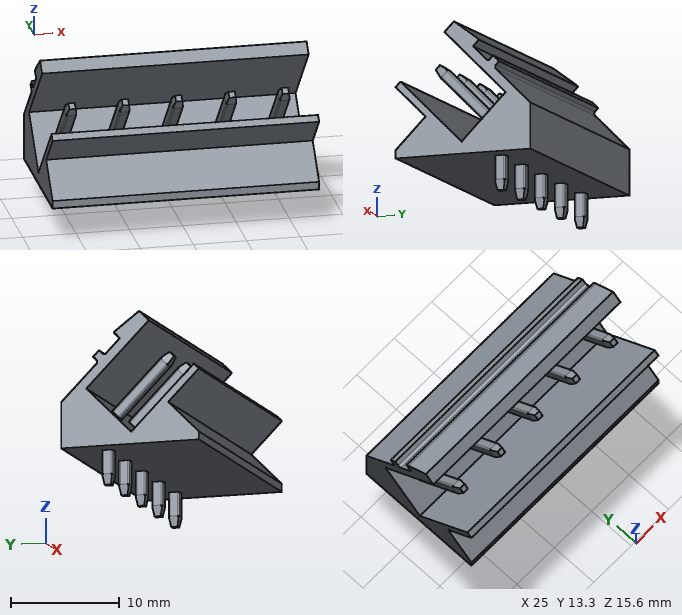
import cadquery as cq
import math


HOUSING_LENGTH = 25.0
HOUSING_DEPTH = 13.3
TILT = 45.0
SOCKET_DEPTH = 8.52
SOCKET_WIDTH = 6.12
SOCKET_CORNER_Z = 1.12
FRONT_WALL = 0.7
FRONT_WALL_ROOT = 4.35
BACK_WALL = 0.92

LIP_START = 5.45
LIP_FLAT = 0.32
LIP_THICKNESS = 1.72
LIP_MOUTH_THICKNESS = 1.32

RIB_START = 2.52
RIB_WIDTH = 0.82
RIB_HEIGHT = 0.7
RIB_FILLET = 0.25

PIN_COUNT = 5
PIN_PITCH = HOUSING_LENGTH / PIN_COUNT
PIN_SIZE = 1.0
PIN_FILLET = 0.15
TIP_LENGTH = 1.0
TIP_SIZE = 0.6
TAIL_Y = 9.5
TAIL_LENGTH = 3.2
PIN_REACH = 7.6

COS = math.cos(math.radians(TILT))
SIN = math.sin(math.radians(TILT))
SOCKET_CORNER_Y = SOCKET_DEPTH * COS + FRONT_WALL * SIN


def socket_point(out, across):
    """(Y, Z) of a point 'out' from the socket floor and 'across' from the front wall's inner face."""
    y = SOCKET_CORNER_Y - out * COS + across * SIN
    z = SOCKET_CORNER_Z + out * SIN + across * COS
    return y, z


def make_housing():
    wall_outside = SOCKET_WIDTH + BACK_WALL
    rib_end = RIB_START + RIB_WIDTH
    rib_top = wall_outside + RIB_HEIGHT
    lip_top = SOCKET_WIDTH + LIP_THICKNESS
    rib_roots = [socket_point(RIB_START, wall_outside), socket_point(rib_end, wall_outside)]

    front_wall_root = socket_point(FRONT_WALL_ROOT, -FRONT_WALL)
    front_foot_z = front_wall_root[1] - front_wall_root[0] * COS / SIN
    back_edge_z = rib_roots[0][1] - (HOUSING_DEPTH - rib_roots[0][0]) * SIN / COS

    outline = [
        (0, 0),
        (0, front_foot_z),
        front_wall_root,
        socket_point(SOCKET_DEPTH, -FRONT_WALL),
        socket_point(SOCKET_DEPTH, 0),
        socket_point(0, 0),
        socket_point(0, SOCKET_WIDTH),
        socket_point(SOCKET_DEPTH, SOCKET_WIDTH),
        socket_point(SOCKET_DEPTH, SOCKET_WIDTH + LIP_MOUTH_THICKNESS),
        socket_point(LIP_START + LIP_FLAT, lip_top),
        socket_point(LIP_START, lip_top),
        socket_point(LIP_START, wall_outside),
        rib_roots[1],
        socket_point(rib_end, rib_top),
        socket_point(RIB_START, rib_top),
        rib_roots[0],
        (HOUSING_DEPTH, back_edge_z),
        (HOUSING_DEPTH, 0),
    ]
    body = cq.Workplane("YZ").polyline(outline).close().extrude(HOUSING_LENGTH / 2, both=True)
    for y, z in rib_roots:
        body = body.edges(cq.selectors.NearestToPointSelector((0, y, z))).fillet(RIB_FILLET)
    return body


def pin_section(plane):
    """Square pin section with rounded corners, drawn on the given plane."""
    square = cq.Sketch().rect(PIN_SIZE, PIN_SIZE).vertices().fillet(PIN_FILLET)
    return cq.Workplane(plane).placeSketch(square)


def pin_tip(plane):
    """Tapered end that starts on the given plane and grows along its normal."""
    taper = (
        cq.Workplane(plane)
        .rect(PIN_SIZE, PIN_SIZE)
        .workplane(offset=TIP_LENGTH)
        .rect(TIP_SIZE, TIP_SIZE)
        .loft(combine=True)
    )
    return pin_section(plane).extrude(TIP_LENGTH).intersect(taper)


def make_pin(x):
    """Bent pin: a vertical tail and a contact along the middle of the socket, mitred at the elbow."""
    middle = SOCKET_WIDTH / 2
    floor_y, floor_z = socket_point(0, middle)
    elbow = cq.Vector(x, TAIL_Y, floor_z - (TAIL_Y - floor_y) * SIN / COS)
    tail_shoulder = cq.Vector(x, TAIL_Y, TIP_LENGTH - TAIL_LENGTH)
    contact_shoulder = cq.Vector(x, *socket_point(PIN_REACH - TIP_LENGTH, middle))

    tail_up = cq.Plane(tail_shoulder, xDir=(1, 0, 0), normal=(0, 0, 1))
    tail_down = cq.Plane(tail_shoulder, xDir=(1, 0, 0), normal=(0, 0, -1))
    contact_out = cq.Plane(contact_shoulder, xDir=(1, 0, 0), normal=(0, -COS, SIN))

    path = cq.Wire.makePolygon([tail_shoulder, elbow, contact_shoulder])
    shank = pin_section(tail_up).sweep(cq.Workplane(path), transition="right")
    return shank.union(pin_tip(tail_down)).union(pin_tip(contact_out))


housing = make_housing()
pins = []
for index in range(PIN_COUNT):
    pin = make_pin((index - (PIN_COUNT - 1) / 2) * PIN_PITCH)
    housing = housing.cut(pin)
    pins.append(pin.solids().val())

result = cq.Compound.makeCompound([housing.solids().val(), *pins])